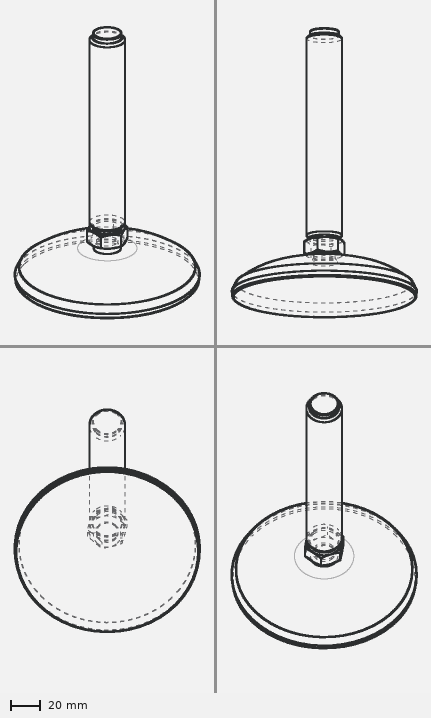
import cadquery as cq
import math

total_height = 183.7

foot_dia = 125.0
edge_step = 0.4
pad_dia = foot_dia - 2 * edge_step
pad_height = 3.9
pad_chamfer = 1.0
rim_top_dia = 119.2
dome_dia = rim_top_dia - 2 * edge_step
rim_top_z = 9.5
flat_dia = 40.0
base_top_z = 23.5

neck_dia = 14.7
neck_foot_dia = 18.4
flare_top_z = 26.8
rod_dia = 24.0
hex_sides = 6
hex_flats = rod_dia
hex_bottom_z = 28.7
hex_top_z = 38.8
hex_bevel_angle = 30.0
relief_dia = 19.5
relief_top_z = 40.8
rod_chamfer = 1.8
tip_length = 3.3
tip_chamfer = 0.5


def make_pad():
    """Flat round pad with a bevelled lower edge."""
    pad = cq.Workplane("XY").circle(pad_dia / 2).extrude(pad_height)
    return pad.faces("<Z").chamfer(pad_chamfer)


def make_base():
    """Conical rim, a narrow ledge, then a dome whose arc runs tangent into the flat top."""
    flat_radius = flat_dia / 2
    dome_edge_radius = dome_dia / 2
    dome_run = dome_edge_radius - flat_radius
    dome_drop = base_top_z - rim_top_z
    dome_radius = (dome_run**2 + dome_drop**2) / (2 * dome_drop)
    half_sweep = math.asin(dome_run / dome_radius) / 2
    arc_middle = (
        flat_radius + dome_radius * math.sin(half_sweep),
        base_top_z - dome_radius * (1 - math.cos(half_sweep)),
    )
    profile = (
        cq.Workplane("XZ")
        .moveTo(0, pad_height)
        .lineTo(foot_dia / 2, pad_height)
        .lineTo(rim_top_dia / 2, rim_top_z)
        .lineTo(dome_edge_radius, rim_top_z)
        .threePointArc(arc_middle, (flat_radius, base_top_z))
        .lineTo(0, base_top_z)
        .close()
    )
    return profile.revolve(360, (0, 0, 0), (0, 1, 0))


def make_hexagon():
    """Hexagon with flats facing +Y and -Y, its corners bevelled at both ends."""
    across_corners = hex_flats / math.cos(math.pi / hex_sides)
    hex_height = hex_top_z - hex_bottom_z
    bevel_run = (across_corners - hex_flats) / 2
    bevel_rise = bevel_run * math.tan(math.radians(hex_bevel_angle))
    prism = (
        cq.Workplane("XY")
        .workplane(offset=hex_bottom_z)
        .polygon(hex_sides, across_corners)
        .extrude(hex_height)
    )
    envelope = (
        cq.Workplane("XY")
        .workplane(offset=hex_bottom_z)
        .circle(across_corners / 2)
        .extrude(hex_height)
        .faces("<Z or >Z")
        .chamfer(bevel_rise, bevel_run)
    )
    return prism.intersect(envelope)


def make_spindle():
    """Turned rod and flared neck, in one piece with the hexagon between them."""
    neck_radius = neck_dia / 2
    relief_radius = relief_dia / 2
    rod_radius = rod_dia / 2
    chamfer_radius = rod_radius - rod_chamfer
    tip_start_z = total_height - tip_length
    turned = (
        cq.Workplane("XZ")
        .moveTo(0, base_top_z)
        .lineTo(neck_foot_dia / 2, base_top_z)
        .lineTo(neck_radius, flare_top_z)
        .lineTo(neck_radius, hex_bottom_z)
        .lineTo(relief_radius, hex_bottom_z)
        .lineTo(relief_radius, relief_top_z)
        .lineTo(chamfer_radius, relief_top_z)
        .lineTo(rod_radius, relief_top_z + rod_chamfer)
        .lineTo(rod_radius, tip_start_z - rod_chamfer)
        .lineTo(chamfer_radius, tip_start_z)
        .lineTo(relief_radius, tip_start_z)
        .lineTo(relief_radius, total_height - tip_chamfer)
        .lineTo(relief_radius - tip_chamfer, total_height)
        .lineTo(0, total_height)
        .close()
        .revolve(360, (0, 0, 0), (0, 1, 0))
    )
    return turned.union(make_hexagon())


pad = make_pad()
base = make_base()
spindle = make_spindle()

result = cq.Compound.makeCompound([pad.val(), base.val(), spindle.val()])